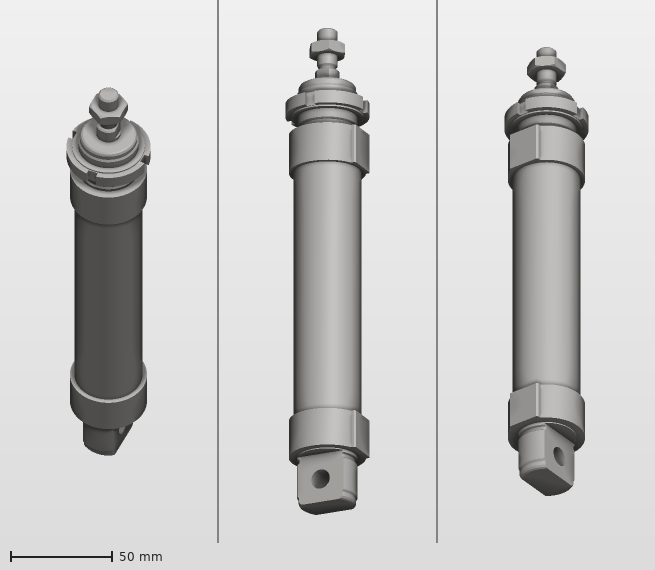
import cadquery as cq
import math

TOTAL_LENGTH = 251.5

EYE_THICKNESS = 16.0
EYE_HOLE_DIAMETER = 10.0
EYE_HOLE_Z = 12.0

THREAD_DIAMETER = 30.0
BOSS_PILOT_DIAMETER = 28.5
RELIEF_DIAMETER = 28.0
BOSS_TIP_DIAMETER = 25.5
BOSS_TIP_BREAK_DIAMETER = 27.2
TIP_BREAK_HEIGHT = 0.5
TIP_HEIGHT = 1.5
PILOT_LENGTH = 3.8
PILOT_TAPER = 1.0
RELIEF_LENGTH = 3.0
RELIEF_TAPER = 0.8
RELIEF_SHOULDER = 0.5
COLLAR_HEIGHT = 1.5
ROOT_DISC_HEIGHT = 0.5

CAP_DIAMETER = 38.2
REAR_CAP_Z = 26.0
REAR_CAP_TOP_Z = 45.3
FRONT_CAP_Z = 176.3
FRONT_CAP_TOP_Z = 196.2
BOSS_TOP_Z = 222.3
PAD_WIDTH = 17.5
PAD_FACE_Y = 19.4
PAD_CHAMFER = 0.8
BARREL_DIAMETER = 33.7

ROD_DIAMETER = 12.0
ROD_THREAD_DIAMETER = 10.0
ROD_TIP_DIAMETER = 8.3
ROD_RELIEF_DIAMETER = 8.5
ROD_FLATS_WIDTH = 10.0
ROD_FLATS_Z = 224.0
ROD_SHOULDER_Z = 230.0
ROD_SHOULDER_CHAMFER = 0.8
ROD_RELIEF_TOP_Z = 231.6
ROD_THREAD_Z = 232.6

ROD_NUT_WIDTH = 16.9
ROD_NUT_HEIGHT = 5.8
ROD_NUT_Z = 238.0
NUT_SIDES = 6
NUT_TURN = 30.0
NUT_CHAMFER_ANGLE = 30.0

RING_DIAMETER = 41.7
RING_FACE_DIAMETER = 36.0
RING_HEIGHT = 8.0
RING_Z = 205.2
RING_STEP = 0.8
RING_SLOT_COUNT = 4
RING_SLOT_WIDTH = 5.0
RING_SLOT_FLOOR_RADIUS = 18.4


def cylinder(diameter, bottom, top):
    return cq.Workplane("XY").workplane(offset=bottom).circle(diameter / 2).extrude(top - bottom)


def turned(points):
    """Revolve a profile of (radius, z) points, closed along the Z axis."""
    closed = [(0, points[0][1])] + points + [(0, points[-1][1])]
    return cq.Workplane("XZ").polyline(closed).close().revolve(360, (0, 0, 0), (0, 1, 0))


def threaded_boss(length):
    """Boss with its tip at Z = 0 and its root at Z = length, where a relief groove ends the thread."""
    tip = BOSS_TIP_DIAMETER / 2
    tip_break = BOSS_TIP_BREAK_DIAMETER / 2
    pilot = BOSS_PILOT_DIAMETER / 2
    thread = THREAD_DIAMETER / 2
    relief = RELIEF_DIAMETER / 2
    relief_top = length - COLLAR_HEIGHT
    relief_bottom = relief_top - RELIEF_LENGTH
    return turned([
        (tip, 0),
        (tip_break, TIP_BREAK_HEIGHT),
        (pilot, TIP_HEIGHT),
        (pilot, PILOT_LENGTH),
        (thread, PILOT_LENGTH + PILOT_TAPER),
        (thread, relief_bottom),
        (relief, relief_bottom + RELIEF_TAPER),
        (relief, relief_top - RELIEF_SHOULDER),
        (thread, relief_top),
        (thread, length),
    ])


def end_cap(bottom, top):
    """Round cap with a flat, edge-chamfered pad along its +Y side."""
    pad = (
        cq.Workplane("XY")
        .workplane(offset=bottom)
        .center(0, PAD_FACE_Y / 2)
        .rect(PAD_WIDTH, PAD_FACE_Y)
        .extrude(top - bottom)
        .edges("|Z and >Y")
        .chamfer(PAD_CHAMFER)
    )
    return cylinder(CAP_DIAMETER, bottom, top).union(pad)


def rear_eye():
    """Boss cut down to a flat blade with a cross hole, on a thin full-round disc."""
    boss = threaded_boss(REAR_CAP_Z)
    blade = cq.Workplane("XY").box(EYE_THICKNESS, 2 * CAP_DIAMETER, REAR_CAP_Z, centered=(True, True, False))
    root_disc = cylinder(THREAD_DIAMETER, REAR_CAP_Z - ROOT_DISC_HEIGHT, REAR_CAP_Z)
    hole = (
        cq.Workplane("YZ")
        .center(0, EYE_HOLE_Z)
        .circle(EYE_HOLE_DIAMETER / 2)
        .extrude(CAP_DIAMETER, both=True)
    )
    return boss.intersect(blade).union(root_disc).cut(hole)


def make_housing():
    """Barrel, both end caps, rear eye and front boss as one body, bored to seat the rod."""
    front_boss = (
        threaded_boss(BOSS_TOP_Z - FRONT_CAP_TOP_Z)
        .rotate((0, 0, 0), (1, 0, 0), 180)
        .translate((0, 0, BOSS_TOP_Z))
    )
    rod_bore = cylinder(ROD_DIAMETER, FRONT_CAP_TOP_Z, BOSS_TOP_Z)
    return (
        cylinder(BARREL_DIAMETER, REAR_CAP_Z, FRONT_CAP_TOP_Z)
        .union(end_cap(REAR_CAP_Z, REAR_CAP_TOP_Z))
        .union(end_cap(FRONT_CAP_Z, FRONT_CAP_TOP_Z))
        .union(rear_eye())
        .union(front_boss)
        .cut(rod_bore)
    )


def make_rod():
    """Rod seated in the bore of the front boss, with wrench flats and a threaded end."""
    rod = ROD_DIAMETER / 2
    thread = ROD_THREAD_DIAMETER / 2
    relief = ROD_RELIEF_DIAMETER / 2
    tip = ROD_TIP_DIAMETER / 2
    shaft = turned([
        (rod, FRONT_CAP_TOP_Z),
        (rod, ROD_SHOULDER_Z - ROD_SHOULDER_CHAMFER),
        (rod - ROD_SHOULDER_CHAMFER, ROD_SHOULDER_Z),
        (relief, ROD_SHOULDER_Z),
        (relief, ROD_RELIEF_TOP_Z),
        (thread, ROD_THREAD_Z),
        (thread, TOTAL_LENGTH - (thread - tip)),
        (tip, TOTAL_LENGTH),
    ])
    flats_height = ROD_SHOULDER_Z - ROD_FLATS_Z
    flats = (
        cq.Workplane("XY")
        .workplane(offset=ROD_FLATS_Z)
        .rect(2 * ROD_DIAMETER, 2 * ROD_DIAMETER)
        .rect(ROD_FLATS_WIDTH, 2 * ROD_DIAMETER)
        .extrude(flats_height)
    )
    return shaft.cut(flats)


def make_rod_nut():
    """Hexagon nut with corners on the Y axis and both rims chamfered."""
    corner_radius = ROD_NUT_WIDTH / 2 / math.cos(math.pi / NUT_SIDES)
    face_radius = ROD_NUT_WIDTH / 2
    chamfer = (corner_radius - face_radius) * math.tan(math.radians(NUT_CHAMFER_ANGLE))
    top = ROD_NUT_Z + ROD_NUT_HEIGHT
    hexagon = (
        cq.Workplane("XY")
        .workplane(offset=ROD_NUT_Z)
        .polygon(NUT_SIDES, 2 * corner_radius)
        .extrude(ROD_NUT_HEIGHT)
        .rotate((0, 0, 0), (0, 0, 1), NUT_TURN)
    )
    rims = turned([
        (face_radius, ROD_NUT_Z),
        (corner_radius, ROD_NUT_Z + chamfer),
        (corner_radius, top - chamfer),
        (face_radius, top),
    ])
    return hexagon.intersect(rims).cut(cylinder(ROD_THREAD_DIAMETER, ROD_NUT_Z, top))


def make_ring_nut():
    """Round nut with raised faces and slots in its rim."""
    top = RING_Z + RING_HEIGHT
    ring = (
        cylinder(RING_FACE_DIAMETER, RING_Z, top)
        .union(cylinder(RING_DIAMETER, RING_Z + RING_STEP, top - RING_STEP))
        .cut(cylinder(THREAD_DIAMETER, RING_Z, top))
    )
    slot = (
        cq.Workplane("XY")
        .box(RING_DIAMETER, RING_SLOT_WIDTH, RING_HEIGHT, centered=(False, True, False))
        .translate((RING_SLOT_FLOOR_RADIUS, 0, RING_Z))
    )
    for index in range(RING_SLOT_COUNT):
        ring = ring.cut(slot.rotate((0, 0, 0), (0, 0, 1), index * 360 / RING_SLOT_COUNT))
    return ring


housing = make_housing()
rod = make_rod()
rod_nut = make_rod_nut()
ring_nut = make_ring_nut()

result = cq.Compound.makeCompound([housing.val(), rod.val(), rod_nut.val(), ring_nut.val()])